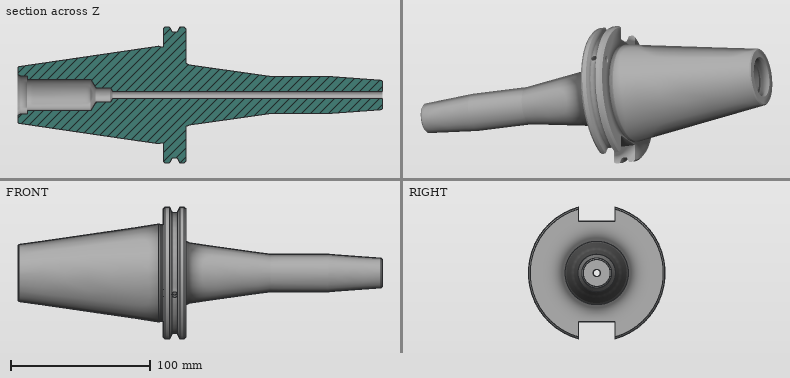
import cadquery as cq
import math

taper_end = 101.0
neck_start = 102.5
flange_rear = 104.0
flange_front = 120.5
shoulder_end = 123.0
nose_cone_end = 181.3
barrel_end = 223.1
total_length = 261.5

rear_diameter = 41.0
taper_diameter = 70.5
neck_diameter = 69.3
flange_diameter = 98.0
shoulder_diameter = 45.5
nose_cone_diameter = 43.5
barrel_diameter = 27.0
tip_diameter = 21.5
rear_chamfer = 0.8
tip_chamfer = 1.0

rim_chamfer_length = 1.5
rim_chamfer_depth = 1.3
groove_rear = 108.8
groove_front = 116.2
groove_wall_run = 1.8
groove_depth = 3.7

slot_width = 26.0
upper_slot_floor = 37.1
lower_slot_floor = 35.0

dimple_diameter = 9.5
drill_point_angle = 118.0

port_angle = 20.0
port_circle_radius = 41.9
axial_port_diameter = 5.0
radial_port_diameter = 4.2
port_depth = 5.2

mouth_diameter = 28.8
mouth_chamfer = 2.0
counterbore_diameter = 27.0
counterbore_depth = 6.5
bore_diameter = 22.0
bore_depth = 52.3
pilot_diameter = 10.0
pilot_length = 10.5
channel_diameter = 5.0

groove_middle = (groove_rear + groove_front) / 2


def revolve_about_x(outline):
    """Revolve an outline of (x, radius) points that starts and ends on the axis."""
    return cq.Workplane("XY").polyline(outline).close().revolve(360, (0, 0, 0), (1, 0, 0))


def drill_point_length(radius_drop):
    return radius_drop / math.tan(math.radians(drill_point_angle / 2))


def make_body():
    flange_radius = flange_diameter / 2
    groove_radius = flange_radius - groove_depth
    rim_edge_radius = flange_radius - rim_chamfer_depth
    return revolve_about_x([
        (0, 0),
        (0, rear_diameter / 2 - rear_chamfer),
        (rear_chamfer, rear_diameter / 2),
        (taper_end, taper_diameter / 2),
        (neck_start, neck_diameter / 2),
        (flange_rear, neck_diameter / 2),
        (flange_rear, rim_edge_radius),
        (flange_rear + rim_chamfer_length, flange_radius),
        (groove_rear, flange_radius),
        (groove_rear + groove_wall_run, groove_radius),
        (groove_front - groove_wall_run, groove_radius),
        (groove_front, flange_radius),
        (flange_front - rim_chamfer_length, flange_radius),
        (flange_front, rim_edge_radius),
        (flange_front, shoulder_diameter / 2),
        (shoulder_end, nose_cone_diameter / 2),
        (nose_cone_end, barrel_diameter / 2),
        (barrel_end, barrel_diameter / 2),
        (total_length - tip_chamfer, tip_diameter / 2),
        (total_length, tip_diameter / 2 - tip_chamfer),
        (total_length, 0),
    ])


def make_bore():
    bore_radius = bore_diameter / 2
    pilot_radius = pilot_diameter / 2
    channel_radius = channel_diameter / 2
    pilot_start = bore_depth + drill_point_length(bore_radius - pilot_radius)
    pilot_end = pilot_start + pilot_length
    channel_start = pilot_end + drill_point_length(pilot_radius - channel_radius)
    return revolve_about_x([
        (0, 0),
        (0, mouth_diameter / 2),
        (mouth_chamfer, counterbore_diameter / 2),
        (counterbore_depth, counterbore_diameter / 2),
        (counterbore_depth, bore_radius),
        (bore_depth, bore_radius),
        (pilot_start, pilot_radius),
        (pilot_end, pilot_radius),
        (channel_start, channel_radius),
        (total_length, channel_radius),
        (total_length, 0),
    ])


def make_slot(floor_height, side):
    """Drive slot above (side = 1) or below (side = -1) the axis."""
    thickness = flange_front - flange_rear
    height = flange_diameter / 2
    centre = ((flange_rear + flange_front) / 2, 0, side * (floor_height + height / 2))
    return cq.Workplane("XY").box(thickness, slot_width, height).translate(centre)


def make_dimple():
    radius = dimple_diameter / 2
    tip = upper_slot_floor - drill_point_length(radius)
    outline = [(0, tip), (radius, upper_slot_floor), (0, upper_slot_floor)]
    dimple = cq.Workplane("XZ").polyline(outline).close().revolve(360, (0, 0, 0), (0, 1, 0))
    return dimple.translate((groove_middle, 0, 0))


def make_drilled_hole(diameter, wall_start, wall_end):
    """Blind hole along +X from wall_start, ending in a drill point beyond wall_end."""
    radius = diameter / 2
    tip = wall_end + drill_point_length(radius)
    return revolve_about_x([(wall_start, 0), (wall_start, radius), (wall_end, radius), (tip, 0)])


def make_ports():
    """Axial port in the rear face and radial port in the groove floor, on the +Y side."""
    axial = make_drilled_hole(axial_port_diameter, 0, port_depth)
    axial = axial.translate((flange_rear, port_circle_radius, 0))
    radial = make_drilled_hole(radial_port_diameter, -groove_depth, port_depth)
    radial = radial.rotate((0, 0, 0), (0, 0, 1), -90)
    radial = radial.translate((groove_middle, flange_diameter / 2 - groove_depth, 0))
    return axial.union(radial).rotate((0, 0, 0), (1, 0, 0), port_angle)


result = make_body().cut(make_bore())
result = result.cut(make_slot(upper_slot_floor, 1)).cut(make_slot(lower_slot_floor, -1))
result = result.cut(make_dimple())
for turn in (0, 180):
    result = result.cut(make_ports().rotate((0, 0, 0), (1, 0, 0), turn))